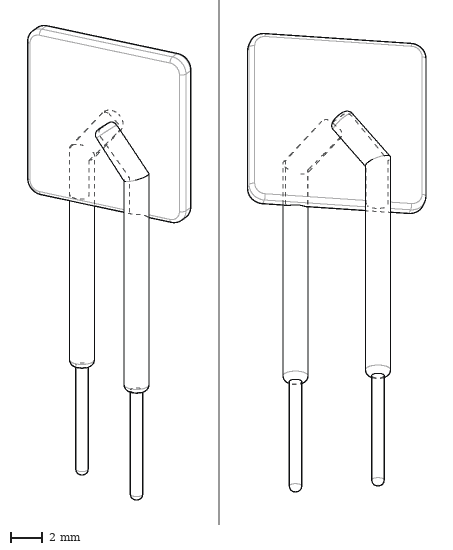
import cadquery as cq

plate_side = 11.5
plate_thickness = 1.2
plate_corner_radius = 1.0
plate_edge_radius = 0.3

total_height = 31
lead_spacing = 5.02
lead_offset = 0.95
wire_diameter = 0.8
wire_tip_radius = 0.37
sleeve_diameter = 1.6
sleeve_end_radius = 0.4
sleeve_bottom = 7.6

bend_height = 22.4
sleeve_end_height = 25.4
sleeve_end_offset = 0.75

wire_overlap = sleeve_diameter
plate_center_height = total_height - plate_side / 2


def make_plate():
    plate = cq.Workplane("XY").box(plate_side, plate_thickness, plate_side)
    plate = plate.edges("|Y").fillet(plate_corner_radius)
    plate = plate.faces("<Y or >Y").edges().fillet(plate_edge_radius)
    return plate.translate((0, 0, plate_center_height))


def make_sleeve():
    """Sleeve with a mitred bend and rounded ends."""
    lead_x = lead_spacing / 2
    path = cq.Workplane("XY").polyline([
        (lead_x, -lead_offset, sleeve_bottom),
        (lead_x, -lead_offset, bend_height),
        (0, -sleeve_end_offset, sleeve_end_height),
    ])
    sleeve = (
        cq.Workplane("XY", origin=(lead_x, -lead_offset, sleeve_bottom))
        .circle(sleeve_diameter / 2)
        .sweep(path, transition="right")
    )
    return sleeve.faces("%PLANE").edges().fillet(sleeve_end_radius)


def make_wire():
    wire = (
        cq.Workplane("XY", origin=(lead_spacing / 2, -lead_offset, 0))
        .circle(wire_diameter / 2)
        .extrude(sleeve_bottom + wire_overlap)
    )
    return wire.faces("<Z").edges().fillet(wire_tip_radius)


front_lead = make_sleeve().union(make_wire())
rear_lead = front_lead.rotate((0, 0, 0), (0, 0, 1), 180)

result = make_plate().union(front_lead).union(rear_lead)